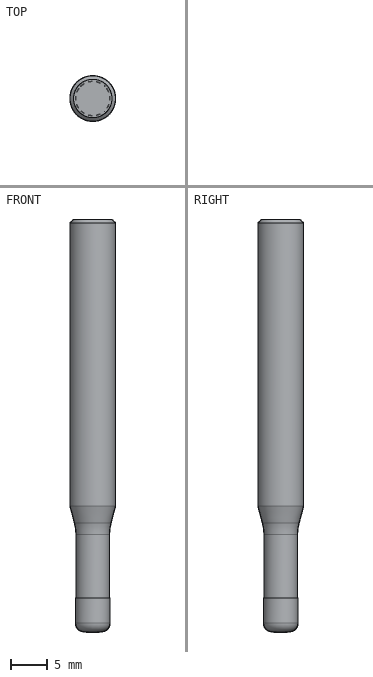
import cadquery as cq
import math

TOTAL_LENGTH = 57.15
SHANK_RADIUS = 6.35 / 2

HEAD_RADIUS = 4.8 / 2
HEAD_LENGTH = 4.8
NOSE_HEIGHT = 1.3
CORNER_RADIUS = 1.2

SHANK_BOTTOM = 17.5
CONE_LENGTH = 2.35
CONE_ANGLE = math.radians(15)
NECK_BLEND_RADIUS = 6.0

CHAMFER_WIDTH = 0.5
CHAMFER_HEIGHT = 0.5

cone_bottom = SHANK_BOTTOM - CONE_LENGTH
cone_bottom_radius = SHANK_RADIUS - CONE_LENGTH * math.tan(CONE_ANGLE)
neck_radius = cone_bottom_radius - NECK_BLEND_RADIUS * (1 - math.cos(CONE_ANGLE))
blend_bottom = cone_bottom - NECK_BLEND_RADIUS * math.sin(CONE_ANGLE)

SECTION = cq.Plane(origin=(0, 0, 0), xDir=(0, -1, 0), normal=(-1, 0, 0))


def revolve_section(profile):
    """Close a half section and turn it fully around the Z axis."""
    return profile.close().revolve(360, (0, 0), (0, 1))


def make_cutting_head():
    """Short cylinder whose rounded corner runs tangent into a shallow domed end."""
    corner_center = HEAD_RADIUS - CORNER_RADIUS
    dome_radius = (corner_center**2 + NOSE_HEIGHT**2 - CORNER_RADIUS**2) / (
        2 * (NOSE_HEIGHT - CORNER_RADIUS)
    )
    join_angle = math.asin(corner_center / (dome_radius - CORNER_RADIUS))

    def dome_point(angle):
        return dome_radius * math.sin(angle), dome_radius * (1 - math.cos(angle))

    corner_angle = (join_angle + math.pi / 2) / 2
    corner_middle = (
        corner_center + CORNER_RADIUS * math.sin(corner_angle),
        NOSE_HEIGHT - CORNER_RADIUS * math.cos(corner_angle),
    )
    profile = (
        cq.Workplane(SECTION)
        .moveTo(0, 0)
        .threePointArc(dome_point(join_angle / 2), dome_point(join_angle))
        .threePointArc(corner_middle, (HEAD_RADIUS, NOSE_HEIGHT))
        .lineTo(HEAD_RADIUS, HEAD_LENGTH)
        .lineTo(0, HEAD_LENGTH)
    )
    return revolve_section(profile)


def make_shank():
    """Neck, blended cone and chamfered shank in one turned body."""
    blend_center_radius = neck_radius + NECK_BLEND_RADIUS
    middle_angle = CONE_ANGLE / 2
    blend_middle = (
        blend_center_radius - NECK_BLEND_RADIUS * math.cos(middle_angle),
        blend_bottom + NECK_BLEND_RADIUS * math.sin(middle_angle),
    )
    profile = (
        cq.Workplane(SECTION)
        .moveTo(0, HEAD_LENGTH)
        .lineTo(neck_radius, HEAD_LENGTH)
        .lineTo(neck_radius, blend_bottom)
        .threePointArc(blend_middle, (cone_bottom_radius, cone_bottom))
        .lineTo(SHANK_RADIUS, SHANK_BOTTOM)
        .lineTo(SHANK_RADIUS, TOTAL_LENGTH - CHAMFER_HEIGHT)
        .lineTo(SHANK_RADIUS - CHAMFER_WIDTH, TOTAL_LENGTH)
        .lineTo(0, TOTAL_LENGTH)
    )
    return revolve_section(profile)


cutting_head = make_cutting_head()
shank = make_shank()

result = cq.Compound.makeCompound([cutting_head.val(), shank.val()])